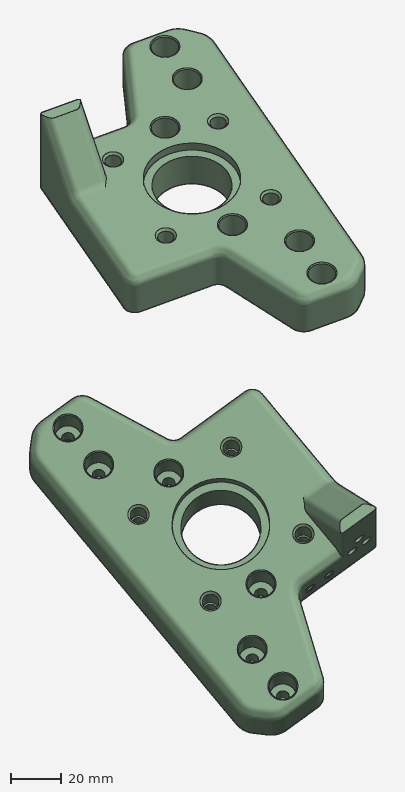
import cadquery as cq
import math

length = 159.8
depth = 91.2
plate_height = 20.0
total_height = 43.0
back_y = 43.1
front_y = back_y - depth
half_length = length / 2
half_neck = 40.0
wing_front_y = 8.8
neck_start_y = -7.5
corner_cut = 10.0
cut_round = 10.0
wing_round = 6.7
neck_round = 5.0
front_round = 5.0

edge_chamfer = 2.9
edge_round = 2.9
bottom_chamfer = 0.5

tower_width = 18.0
tower_top_length = 5.0
tower_blend = 5.0
tower_slope = 45.0
tower_corner = 1.3

bore_diameter = 32.0
recess_diameter = 39.0
recess_depth = 4.0

bolt_positions = [(70.0, 23.0), (50.0, 23.0), (30.0, 3.0)]
bolt_diameter = 5.1
bolt_head_diameter = 11.0
bolt_head_depth = 12.0
bolt_mouth_diameter = 12.0

square_pitch = 47.0
square_diameter = 5.0
square_upper_diameter = 6.5
square_upper_depth = 10.0
square_mouth_diameter = 8.5

tapped_places = [(24.1, 7.2), (33.7, 7.2)]
tapped_diameter = 3.8
tapped_mouth_diameter = 4.6
tapped_depth = 12.0
pin_places = [(5.5, 15.0), (12.6, 15.0), (9.1, 23.0)]
pin_diameter = 4.6
pin_depth = 10.0


def nearest(x, y, z):
    """Selector for the edge closest to a point."""
    return cq.selectors.NearestToPointSelector((x, y, z))


def make_plate():
    """T-shaped plate with rounded corners and a softened top rim."""
    right_half = [
        (half_length - corner_cut, back_y, cut_round),
        (half_length, back_y - corner_cut, cut_round),
        (half_length, wing_front_y, wing_round),
        (half_neck, neck_start_y, neck_round),
        (half_neck, front_y, front_round),
    ]
    left_half = [(-x, y, radius) for x, y, radius in reversed(right_half)]
    corners = right_half + left_half
    outline = [(x, y) for x, y, radius in corners]
    plate = cq.Workplane("XY").polyline(outline).close().extrude(plate_height)
    for x, y, radius in corners:
        plate = plate.edges("|Z").edges(nearest(x, y, plate_height / 2)).fillet(radius)

    plate = plate.faces(">Z").edges().chamfer(edge_chamfer)
    shoulder = plate_height - edge_chamfer
    margin = edge_chamfer / 10
    shoulder_edges = cq.selectors.BoxSelector(
        (-length, -length, shoulder - margin), (length, length, shoulder + margin), boundingbox=True
    )
    return plate.edges(">Z").add(plate.edges(shoulder_edges)).fillet(edge_round)


def make_tower():
    """Sloped block whose softened slope borders run out into the plate rim."""
    left = -half_neck
    slope_top_x = left + tower_top_length
    slope_angle = math.radians(tower_slope)
    slope_foot_x = slope_top_x + (total_height - plate_height) / math.tan(slope_angle)
    blend_reach = tower_blend * math.tan(slope_angle / 2)
    right = slope_foot_x + blend_reach
    stock_right = right + tower_blend
    apex_z = total_height + tower_top_length * math.tan(slope_angle)
    profile = [
        (left, 0),
        (stock_right, 0),
        (stock_right, plate_height),
        (slope_foot_x, plate_height),
        (left, apex_z),
    ]
    tower = cq.Workplane("XZ", origin=(0, front_y, 0)).polyline(profile).close().extrude(-tower_width)
    blend_edge = nearest(slope_foot_x, front_y + tower_width / 2, plate_height)
    tower = tower.edges(blend_edge).fillet(tower_blend)
    along_slope = cq.selectors.ParallelDirSelector(
        cq.Vector(math.cos(slope_angle), 0, -math.sin(slope_angle))
    )
    tower = tower.edges(along_slope).chamfer(edge_chamfer)
    tower = tower.edges(along_slope).fillet(edge_round)

    envelope = (
        cq.Workplane("XY").box(right - left, tower_width, total_height, centered=False)
        .translate((left, front_y, 0)).edges("|Z and <X").fillet(tower_corner)
    )
    return tower.intersect(envelope)


def upright_holes(places, diameter, hole_depth):
    """Cylinders that run down from the top face of the plate."""
    holes = cq.Workplane("XY", origin=(0, 0, plate_height)).pushPoints(places)
    return holes.circle(diameter / 2).extrude(-hole_depth)


def bore_cutter():
    """Main bore with a shallow recess at its top."""
    bore = upright_holes([(0, 0)], bore_diameter, plate_height)
    return bore.union(upright_holes([(0, 0)], recess_diameter, recess_depth))


def countersink(inner_diameter, mouth_diameter, mouth, inward):
    """A 90 degree cone with its wide end at the mouth, narrowing along the inward direction."""
    sink_depth = (mouth_diameter - inner_diameter) / 2
    cone = cq.Solid.makeCone(mouth_diameter / 2, inner_diameter / 2, sink_depth, mouth, inward)
    return cq.Workplane(cone)


def top_countersinks(places, inner_diameter, mouth_diameter):
    """Countersinks in the top face of the plate."""
    downward = cq.Vector(0, 0, -1)
    cutter = cq.Workplane("XY")
    for x, y in places:
        mouth = cq.Vector(x, y, plate_height)
        cutter = cutter.add(countersink(inner_diameter, mouth_diameter, mouth, downward))
    return cutter.combine()


def bolt_cutter():
    """Bolt holes with counterbores and bevelled mouths."""
    places = [(side * x, y) for x, y in bolt_positions for side in (1, -1)]
    shanks = upright_holes(places, bolt_diameter, plate_height)
    cutter = shanks.union(upright_holes(places, bolt_head_diameter, bolt_head_depth))
    return cutter.union(top_countersinks(places, bolt_head_diameter, bolt_mouth_diameter))


def square_cutter():
    """Four stepped holes with countersunk mouths."""
    half = square_pitch / 2
    places = [(x, y) for x in (half, -half) for y in (half, -half)]
    cutter = upright_holes(places, square_diameter, plate_height)
    cutter = cutter.union(upright_holes(places, square_upper_diameter, square_upper_depth))
    return cutter.union(top_countersinks(places, square_upper_diameter, square_mouth_diameter))


def side_holes(places, diameter, hole_depth):
    """Blind holes that run inward from the left face of the neck."""
    holes = cq.Workplane("YZ", origin=(-half_neck, front_y, 0)).pushPoints(places)
    return holes.circle(diameter / 2).extrude(hole_depth)


def tapped_cutter():
    """Blind holes with a bevelled mouth in the left face."""
    inward = cq.Vector(1, 0, 0)
    cutter = side_holes(tapped_places, tapped_diameter, tapped_depth)
    for behind_front, height in tapped_places:
        mouth = cq.Vector(-half_neck, front_y + behind_front, height)
        sink = countersink(tapped_diameter, tapped_mouth_diameter, mouth, inward)
        cutter = cutter.union(sink)
    return cutter


body = make_plate().union(make_tower())
body = body.faces("<Z").edges().chamfer(bottom_chamfer)
for cutter in (bore_cutter(), bolt_cutter(), square_cutter(), tapped_cutter()):
    body = body.cut(cutter)
result = body.cut(side_holes(pin_places, pin_diameter, pin_depth))